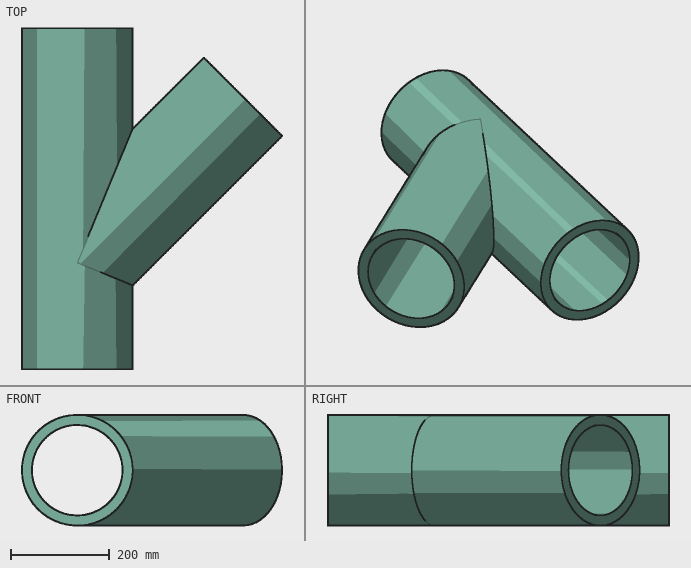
import cadquery as cq
import math

run_length = 692.0
outer_diameter = 225.0
wall = 21.0
bore_diameter = outer_diameter - 2 * wall

junction_to_front_end = 216.5
branch_angle = 45.0
branch_length = 475.5

run_start = cq.Vector(0, -junction_to_front_end, 0)
run_direction = cq.Vector(0, 1, 0)
junction = cq.Vector(0, 0, 0)
branch_direction = cq.Vector(
    math.sin(math.radians(branch_angle)),
    math.cos(math.radians(branch_angle)),
    0,
)


def wye(diameter):
    """Solid wye of two joined cylinders with the given diameter."""
    radius = diameter / 2
    run = cq.Solid.makeCylinder(radius, run_length, run_start, run_direction)
    branch = cq.Solid.makeCylinder(radius, branch_length, junction, branch_direction)
    near_side = cq.Workplane("XY").box(
        2 * run_length, 2 * run_length, 2 * run_length, centered=(False, True, True)
    )
    return cq.Workplane(run).union(cq.Workplane(branch).intersect(near_side))


result = wye(outer_diameter).cut(wye(bore_diameter))